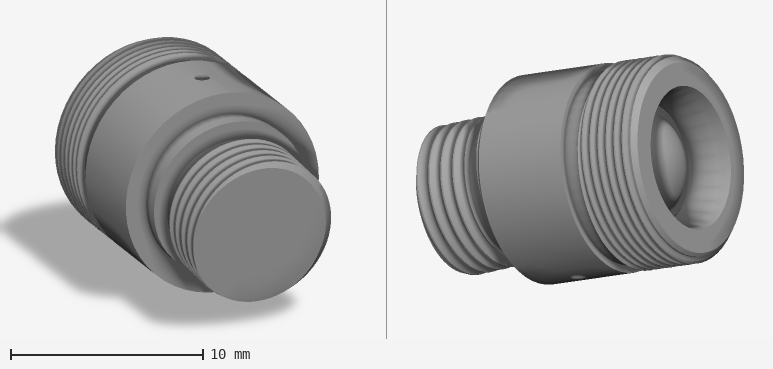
import cadquery as cq
import math


outer_diameter = 11.0
outer_radius = outer_diameter / 2
front_face_radius = 5.0
nose_thread_root_radius = 5.18
relief_groove_radius = 5.12
nose_thread_length = 3.5
collar_start = 4.47
collar_end = 9.57
collar_middle = (collar_start + collar_end) / 2
glue_hole_diameter = 0.8
entry_cone_radius = 3.76
entry_cone_depth = 2.2
bore_radius = 3.16

nose_pitch_count = 7
nose_pitch = nose_thread_length / nose_pitch_count
nose_ridge_base_width = 0.38
nose_ridge_crest_width = 0.08
nose_first_crest = 0.24

lens_back = 6.73
lens_edge_chamfer = 0.09
dome_radius = 3.39
dome_fillet_radius = 0.27
rim_inner_radius = 2.75

tilt_angle = 3.8
boss_radius = 4.32
boss_face_distance = 3.48
neck_radius = 3.55
stub_thread_start = 4.44
stub_end = 7.78
stub_thread_crest_radius = 4.0
stub_pitch = 0.75
stub_ridge_base_width = 0.63
stub_ridge_crest_width = 0.09
stub_first_crest = 4.58

ridge_overlap = 0.05


def cylinder_along_x(radius, start, end):
    return cq.Workplane("YZ").workplane(offset=start).circle(radius).extrude(end - start)


def thread_ridge(root_radius, crest_radius, base_width, crest_width, pitch, first_crest, end):
    """Right-handed ridge around X: a crest meets the +Z side at first_crest, and it runs past end."""
    turns = math.ceil((end - first_crest) / pitch) + 1
    path = cq.Wire.makeHelix(pitch, turns * pitch, root_radius)
    foot_radius = root_radius - ridge_overlap
    widening = (base_width - crest_width) / (crest_radius - root_radius)
    foot_width = base_width + widening * ridge_overlap
    profile = cq.Workplane("XZ").polyline([
        (foot_radius, -foot_width / 2),
        (crest_radius, -crest_width / 2),
        (crest_radius, crest_width / 2),
        (foot_radius, foot_width / 2),
    ]).close()
    ridge = profile.sweep(cq.Workplane(obj=path), isFrenet=True)
    ridge = ridge.rotate((0, 0, 0), (0, 1, 0), 90).rotate((0, 0, 0), (1, 0, 0), 180)
    return ridge.translate((first_crest, 0, 0))


def make_nose():
    """Threaded nose with a 45 degree front chamfer that also trims the thread, and a relief groove."""
    envelope = (
        cq.Workplane("XY")
        .polyline([
            (0, 0),
            (0, front_face_radius),
            (nose_thread_length, front_face_radius + nose_thread_length),
            (nose_thread_length, 0),
        ])
        .close()
        .revolve(360, (0, 0, 0), (1, 0, 0))
    )
    ridge = thread_ridge(
        nose_thread_root_radius, outer_radius, nose_ridge_base_width, nose_ridge_crest_width,
        nose_pitch, nose_first_crest - nose_pitch, nose_thread_length,
    )
    core = cylinder_along_x(nose_thread_root_radius, 0, collar_start)
    core = core.faces("<X").chamfer(nose_thread_root_radius - front_face_radius)
    relief = cylinder_along_x(outer_radius, nose_thread_length, collar_start).cut(
        cylinder_along_x(relief_groove_radius, nose_thread_length, collar_start)
    )
    return core.union(ridge.intersect(envelope)).cut(relief)


def make_housing():
    body = make_nose().union(cylinder_along_x(outer_radius, collar_start, collar_end))

    entry_and_bore = (
        cq.Workplane("XY")
        .polyline([
            (0, 0),
            (0, entry_cone_radius),
            (entry_cone_depth, bore_radius),
            (collar_end, bore_radius),
            (collar_end, 0),
        ])
        .close()
        .revolve(360, (0, 0, 0), (1, 0, 0))
    )
    glue_holes = (
        cq.Workplane("XY")
        .center(collar_middle, 0)
        .circle(glue_hole_diameter / 2)
        .extrude(outer_radius, both=True)
    )
    return body.cut(entry_and_bore).cut(glue_holes)


def make_lens():
    """Lens with a flat rim, a concave fillet and a spherical dome facing the entry cone."""
    rim = entry_cone_depth
    centre_offset = math.sqrt((dome_radius + dome_fillet_radius) ** 2 - rim_inner_radius ** 2)
    dome_centre = rim - dome_fillet_radius + centre_offset
    apex = dome_centre - dome_radius
    edge_angle = math.asin(rim_inner_radius / (dome_radius + dome_fillet_radius))

    def on_dome(angle):
        return dome_centre - dome_radius * math.cos(angle), dome_radius * math.sin(angle)

    fillet_middle = (
        rim - dome_fillet_radius + dome_fillet_radius * math.cos(edge_angle / 2),
        rim_inner_radius - dome_fillet_radius * math.sin(edge_angle / 2),
    )
    return (
        cq.Workplane("XY")
        .moveTo(apex, 0)
        .threePointArc(on_dome(edge_angle / 2), on_dome(edge_angle))
        .threePointArc(fillet_middle, (rim, rim_inner_radius))
        .lineTo(rim, bore_radius - lens_edge_chamfer)
        .lineTo(rim + lens_edge_chamfer, bore_radius)
        .lineTo(lens_back, bore_radius)
        .lineTo(lens_back, 0)
        .close()
        .revolve(360, (0, 0, 0), (1, 0, 0))
    )


def tilt(shape):
    """Move a shape built along X from the origin onto the tilted axis, which drops towards +X."""
    return shape.rotate((0, 0, 0), (0, 1, 0), tilt_angle).translate((collar_middle, 0, 0))


def make_stub():
    """Tilted neck and thread, with square thread ends."""
    core = cylinder_along_x(neck_radius, 0, stub_end + stub_pitch)
    envelope = cylinder_along_x(outer_radius, stub_thread_start, stub_end)
    ridge = thread_ridge(
        neck_radius, stub_thread_crest_radius, stub_ridge_base_width, stub_ridge_crest_width,
        stub_pitch, stub_first_crest - stub_pitch, stub_end,
    )
    kept_length = cylinder_along_x(outer_radius, boss_face_distance, stub_end)
    return tilt(core.union(ridge.intersect(envelope)).intersect(kept_length))


def make_connector():
    plug = cylinder_along_x(bore_radius, lens_back, collar_end)
    boss_blank = cylinder_along_x(boss_radius, collar_end, collar_middle + stub_end)
    boss = boss_blank.intersect(tilt(cylinder_along_x(outer_radius, 0, boss_face_distance)))
    return plug.union(boss).union(make_stub())


housing = make_housing()
lens = make_lens()
connector = make_connector()

result = cq.Compound.makeCompound([housing.val(), lens.val(), connector.val()])